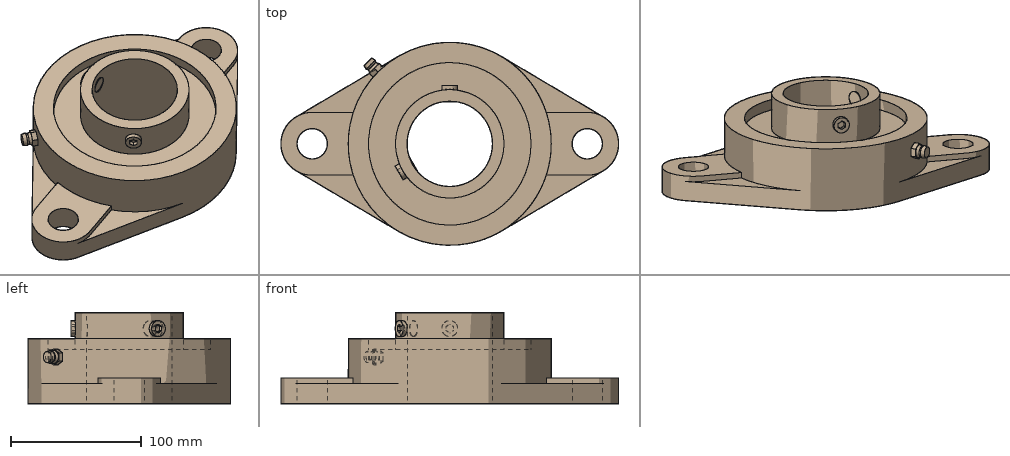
import cadquery as cq
import math

overall_length = 258.0
housing_diameter = 155.0
housing_height = 49.8
ear_radius = 24.0
ear_height = 19.9
web_height = 15.5
bolt_hole_diameter = 23.0
housing_radius = housing_diameter / 2
ear_offset = overall_length / 2 - ear_radius

recess_diameter = 124.0
recess_depth = 8.3
collar_diameter = 82.8
collar_top = 69.7
bore_diameter = 65.0

screw_angles = (90, 210)
screw_diameter = 12.0
screw_center_height = 57.5
screw_inner_radius = 31.7
screw_outer_radius = 44.6
socket_corner_diameter = 6.5
socket_depth = 3.9

nipple_angle = 135
nipple_height = 35.9
nipple_root_radius = 72.2
nipple_hex_flats = 10.8
nipple_hex_end = 81.5
nipple_neck_position = 83.8
nipple_rim_position = 85.5
nipple_tip_position = 88.5
nipple_shoulder_diameter = 10.0
nipple_neck_diameter = 8.3
nipple_rim_diameter = 9.8
nipple_tip_diameter = 8.5


def cylinder(diameter, height):
    return cq.Workplane("XY").circle(diameter / 2).extrude(height)


def radial_plane(angle, radius, height):
    """Plane facing away from the bore axis, with its local X pointing up."""
    x = math.cos(math.radians(angle))
    y = math.sin(math.radians(angle))
    origin = (radius * x, radius * y, height)
    return cq.Workplane(cq.Plane(origin, xDir=(0, 0, 1), normal=(x, y, 0)))


def make_web():
    """Thin flange whose straight sides are tangent to the housing and both ears.

    The chords between tangent points lie inside the housing and the ears.
    """
    sine = (housing_radius - ear_radius) / ear_offset
    cosine = math.sqrt(1 - sine**2)
    housing_x = housing_radius * sine
    housing_y = housing_radius * cosine
    ear_x = ear_offset + ear_radius * sine
    ear_y = ear_radius * cosine
    tangent_points = [
        (-housing_x, housing_y),
        (housing_x, housing_y),
        (ear_x, ear_y),
        (ear_x, -ear_y),
        (housing_x, -housing_y),
        (-housing_x, -housing_y),
        (-ear_x, -ear_y),
        (-ear_x, ear_y),
    ]
    return cq.Workplane("XY").polyline(tangent_points).close().extrude(web_height)


def make_ears():
    """Raised strip with round ends, running through the housing."""
    return cq.Workplane("XY").slot2D(overall_length, 2 * ear_radius).extrude(ear_height)


def make_set_screw(angle):
    length = screw_outer_radius - screw_inner_radius
    screw = radial_plane(angle, screw_inner_radius, screw_center_height)
    screw = screw.circle(screw_diameter / 2).extrude(length)
    socket = radial_plane(angle, screw_outer_radius, screw_center_height)
    socket = socket.polygon(6, socket_corner_diameter).extrude(-socket_depth)
    return screw.cut(socket)


def make_nipple():
    """Hexagonal base with a turned, necked head."""
    base = radial_plane(nipple_angle, nipple_root_radius, nipple_height)
    corner_diameter = nipple_hex_flats / math.cos(math.pi / 6)
    base = base.polygon(6, corner_diameter).extrude(nipple_hex_end - nipple_root_radius)
    stages = (
        (nipple_hex_end, nipple_shoulder_diameter),
        (nipple_neck_position, nipple_neck_diameter),
        (nipple_rim_position, nipple_rim_diameter),
        (nipple_tip_position, nipple_tip_diameter),
    )
    nipple = base
    for (start, start_diameter), (end, end_diameter) in zip(stages, stages[1:]):
        taper = (
            radial_plane(nipple_angle, start, nipple_height)
            .circle(start_diameter / 2)
            .workplane(offset=end - start)
            .circle(end_diameter / 2)
            .loft(ruled=True)
        )
        nipple = nipple.union(taper)
    return nipple


body = cylinder(housing_diameter, housing_height).union(make_web()).union(make_ears())
recess = cylinder(recess_diameter, recess_depth)
body = body.cut(recess.translate((0, 0, housing_height - recess_depth)))

body = body.union(cylinder(collar_diameter, collar_top))
body = body.cut(cylinder(bore_diameter, collar_top))
for side in (-1, 1):
    bolt_hole = cylinder(bolt_hole_diameter, ear_height)
    body = body.cut(bolt_hole.translate((side * ear_offset, 0, 0)))

for screw_angle in screw_angles:
    body = body.union(make_set_screw(screw_angle))
result = body.union(make_nipple())